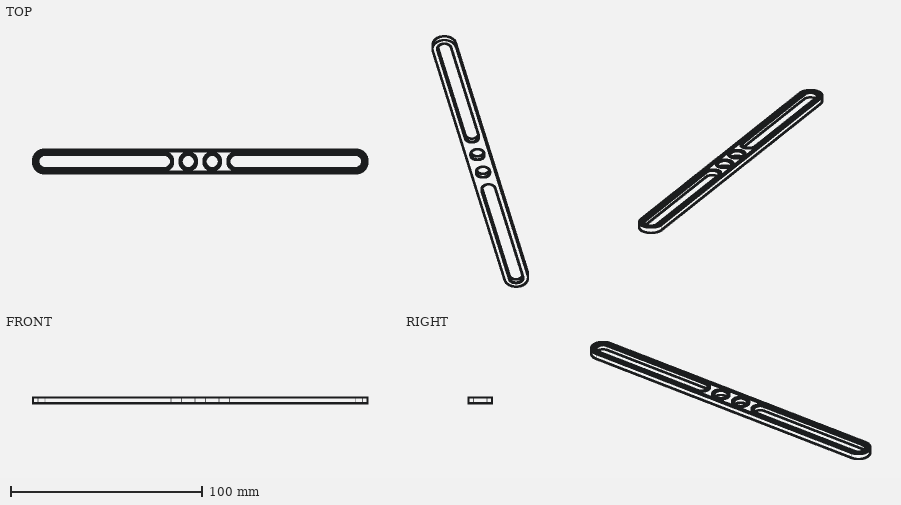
import cadquery as cq

length = 175.0
pitch_count = 14
pitch = length / pitch_count
width = pitch
thickness = 3.2

recess_depth = 0.2
rim_width = 1.1
collar_width = 1.1

opening_diameter = 7.0
opening_chamfer = 0.3
chamfer_angle = 45
hole_x = pitch / 2
slot_inner_x = 1.5 * pitch
slot_outer_x = (length - width) / 2
slot_x = (slot_inner_x + slot_outer_x) / 2
slot_span = slot_outer_x - slot_inner_x


def rounded_bar(bar_length, bar_width, bottom, height):
    """Upright prism with a round-ended outline centred on the Z axis."""
    plane = cq.Workplane("XY").workplane(offset=bottom)
    return plane.slot2D(bar_length, bar_width).extrude(height)


def opening_prisms(diameter, start, height, taper=0):
    """Prisms on all four openings; a negative height extrudes downwards from start."""
    plane = cq.Workplane("XY").workplane(offset=start)
    hole_outlines = plane.pushPoints([(-hole_x, 0), (hole_x, 0)]).circle(diameter / 2)
    holes = hole_outlines.extrude(height, taper=taper)
    slot_outlines = plane.pushPoints([(-slot_x, 0), (slot_x, 0)]).slot2D(slot_span + diameter, diameter)
    slots = slot_outlines.extrude(height, taper=taper)
    return holes.union(slots)


def sunken_panel():
    """Material removed from the top face: everything inside the rim except the collars."""
    floor = thickness - recess_depth
    panel = rounded_bar(length - 2 * rim_width, width - 2 * rim_width, floor, recess_depth)
    collars = opening_prisms(opening_diameter + 2 * collar_width, floor, recess_depth)
    return panel.cut(collars)


def chamfered_openings():
    """Through openings, chamfered where they meet the top and bottom faces."""
    mouth_diameter = opening_diameter + 2 * opening_chamfer
    bores = opening_prisms(opening_diameter, 0, thickness)
    top_mouths = opening_prisms(mouth_diameter, thickness, -opening_chamfer, taper=chamfer_angle)
    bottom_mouths = opening_prisms(mouth_diameter, 0, opening_chamfer, taper=chamfer_angle)
    return bores.union(top_mouths).union(bottom_mouths)


strip = rounded_bar(length, width, 0, thickness)
result = strip.cut(sunken_panel()).cut(chamfered_openings()).solids()